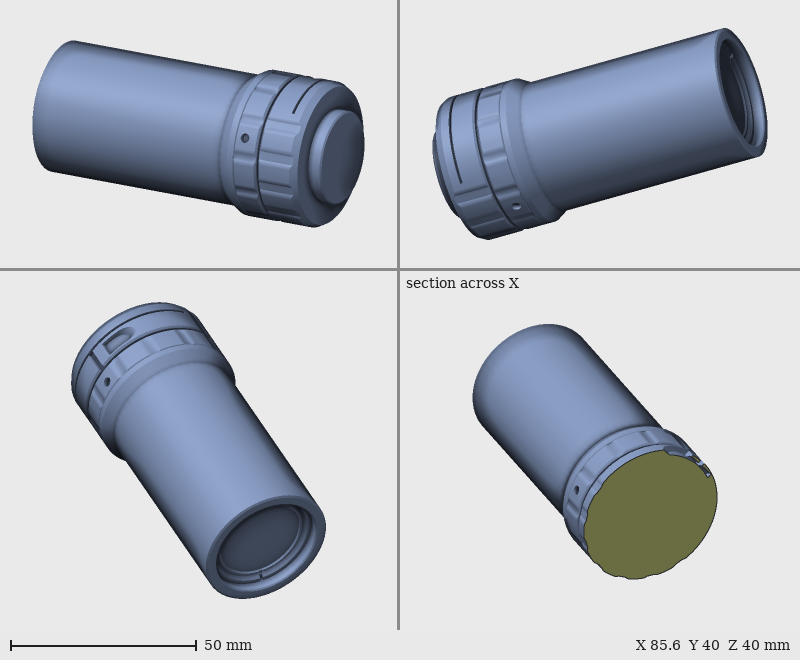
import cadquery as cq
import math

LENGTH = 85.6
OUTER_DIA = 40.0
OUTER_R = OUTER_DIA / 2
BARREL_R = 18.0
CORE_R = 18.5
MOUNT_R = 12.75
CLEARANCE = 0.85

CONE_START = 57.3
CONE_END = 60.7
GRIP_START = 62.7
GRIP_END = 69.4
FOCUS_START = 70.1
FOCUS_TAPER = 79.8
FOCUS_END = 81.75

FRONT_CHAMFER_X = 0.3
FRONT_CHAMFER_R = 0.6
SEAM_CHAMFER = 0.21
RING_CHAMFER = 0.5
REAR_TAPER_DROP = 1.0
MOUNT_CHAMFER = 0.4

BORE_R = 15.2
BORE_CHAMFER = 0.3
RETAINER_R = 13.8
RETAINER_DEPTH = 2.9
FUNNEL_R = 12.9
FUNNEL_DEPTH = 4.0
LENS_RING_R = 12.4
LENS_RING_DEPTH = 3.6
LENS_RIM_R = 11.8
LENS_R = 11.55
LENS_DEPTH = 4.1
NOTCH_WIDTH = 0.85
NOTCH_DEPTH = 0.85

FLUTE_DEPTH = 0.4
FLUTE_ROUND = 2.5
FLUTE_TROUGH_WIDTH = 2.3
GRIP_FLUTE_WIDTH = 4.3
FOCUS_FLUTE_WIDTH = 5.2
GRIP_FLUTES = 12
GRIP_PHASE = 9.0
FOCUS_PITCH = 360 / 14
FOCUS_FLUTES = 7

HOLE_DIA = 2.6
HOLE_X = 65.4
HOLE_DEPTH = 1.7
HOLE_COUNT = 3
HOLE_PHASE = GRIP_PHASE + 180 / GRIP_FLUTES

SLIT_ANGLE = 180 - 1.5 * FOCUS_PITCH
SLIT_WIDTH = 1.6
SLOT_START = 76.7
SLOT_WIDTH = 0.8
SLOT_HALF_SPAN = 91.0
SCREW_X = 73.4
SCREW_OFFSET = 17.7
SCREW_HEAD_DIA = 4.7
SCREW_HOLE_DIA = 2.6
SCREW_SEAT = 4.1
SCREW_HOLE_REACH = 5.1


def turned(points):
    """Solid of revolution about X from (x, radius) points closed along the axis."""
    first_x = points[0][0]
    last_x = points[-1][0]
    outline = [(first_x, 0)] + points + [(last_x, 0)]
    return cq.Workplane("XY").polyline(outline).close().revolve(360, (0, 0), (1, 0))


def around(shape, angle):
    """Turn a shape made on the -Y side by an angle from -Y towards +Z."""
    return shape.rotate((0, 0, 0), (1, 0, 0), -angle)


def flute(start, length, width):
    """Cutter for one shallow finger flute on the -Y side: rounded flanks and a hollow trough."""
    edge_angle = math.asin(width / 2 / OUTER_R)
    trough = FLUTE_TROUGH_WIDTH / 2
    clear_r = OUTER_R + CLEARANCE

    round_z = (OUTER_R - FLUTE_ROUND) * math.sin(edge_angle)
    round_r = (OUTER_R - FLUTE_ROUND) * math.cos(edge_angle)
    trough_angle = math.asin((trough - round_z) / FLUTE_ROUND)

    def flank(angle, side):
        radius = round_r + FLUTE_ROUND * math.cos(angle)
        height = round_z + FLUTE_ROUND * math.sin(angle)
        return (-radius, side * height)

    middle_angle = (edge_angle + trough_angle) / 2
    return (
        cq.Workplane("YZ", origin=(start, 0, 0))
        .moveTo(-clear_r, width / 2)
        .lineTo(*flank(edge_angle, 1))
        .threePointArc(flank(middle_angle, 1), flank(trough_angle, 1))
        .threePointArc((-(OUTER_R - FLUTE_DEPTH), 0), flank(trough_angle, -1))
        .threePointArc(flank(middle_angle, -1), flank(edge_angle, -1))
        .lineTo(-clear_r, -width / 2)
        .close()
        .extrude(length)
    )


def make_body():
    """Barrel, cone and flange in front, core under the rings and rear mount."""
    return turned([
        (0, BARREL_R - FRONT_CHAMFER_R),
        (FRONT_CHAMFER_X, BARREL_R),
        (CONE_START, BARREL_R),
        (CONE_END, OUTER_R),
        (GRIP_START - SEAM_CHAMFER, OUTER_R),
        (GRIP_START, OUTER_R - SEAM_CHAMFER),
        (GRIP_START, CORE_R),
        (FOCUS_TAPER, CORE_R),
        (FOCUS_TAPER, MOUNT_R),
        (LENGTH - MOUNT_CHAMFER, MOUNT_R),
        (LENGTH, MOUNT_R - MOUNT_CHAMFER),
    ])


def cut_front_bore(body):
    """Stepped bore down to the lens face, with two spanner notches in the retainer."""
    bore = turned([
        (0, BORE_R),
        (BORE_CHAMFER, BORE_R - BORE_CHAMFER),
        (RETAINER_DEPTH, BORE_R - BORE_CHAMFER),
        (RETAINER_DEPTH, RETAINER_R),
        (FUNNEL_DEPTH, FUNNEL_R),
        (FUNNEL_DEPTH, LENS_RING_R),
        (LENS_RING_DEPTH, LENS_RING_R),
        (LENS_RING_DEPTH, LENS_RIM_R),
        (LENS_DEPTH, LENS_R),
    ])
    notches = cq.Workplane("XY").box(
        NOTCH_DEPTH, NOTCH_WIDTH, 2 * (BORE_R - BORE_CHAMFER), centered=(False, True, True)
    ).translate((RETAINER_DEPTH, 0, 0))
    return body.cut(bore).cut(notches)


def make_grip_ring():
    """Front ring with flutes all round."""
    ring = turned([
        (GRIP_START, OUTER_R - SEAM_CHAMFER),
        (GRIP_START + SEAM_CHAMFER, OUTER_R),
        (GRIP_END - RING_CHAMFER, OUTER_R),
        (GRIP_END, OUTER_R - RING_CHAMFER),
    ])
    cutter = flute(GRIP_START, GRIP_END - GRIP_START, GRIP_FLUTE_WIDTH)
    for i in range(GRIP_FLUTES):
        ring = ring.cut(around(cutter, GRIP_PHASE + i * 360 / GRIP_FLUTES))
    return ring


def cut_grip_holes(body):
    """Flat-bottomed radial holes on lands of the grip ring."""
    drill = (
        cq.Workplane("XZ", origin=(HOLE_X, -(OUTER_R - HOLE_DEPTH), 0))
        .circle(HOLE_DIA / 2)
        .extrude(HOLE_DEPTH + CLEARANCE)
    )
    for i in range(HOLE_COUNT):
        body = body.cut(around(drill, HOLE_PHASE + i * 360 / HOLE_COUNT))
    return body


def slot_around():
    """Ring sector, centred on -Y, for the slot around the focus ring."""
    clear_r = OUTER_R + CLEARANCE
    end_y = -clear_r * math.cos(math.radians(SLOT_HALF_SPAN))
    end_z = clear_r * math.sin(math.radians(SLOT_HALF_SPAN))
    return (
        cq.Workplane("YZ", origin=(SLOT_START, 0, 0))
        .lineTo(end_y, end_z)
        .threePointArc((-clear_r, 0), (end_y, -end_z))
        .close()
        .extrude(SLOT_WIDTH)
    )


def clamp_cuts():
    """Slit, slot and screw pocket, with the slit on the -Y side."""
    slit = cq.Workplane("XY").box(
        SLOT_START - FOCUS_START, OUTER_DIA, SLIT_WIDTH, centered=(False, False, True)
    ).translate((FOCUS_START, -OUTER_DIA, 0))
    head = (
        cq.Workplane("XY", origin=(SCREW_X, -SCREW_OFFSET, -SCREW_SEAT))
        .circle(SCREW_HEAD_DIA / 2)
        .extrude(-OUTER_R)
    )
    head_opening = cq.Workplane("XY").box(
        SCREW_HEAD_DIA, OUTER_R, OUTER_R, centered=(True, False, False)
    ).translate((SCREW_X, -SCREW_OFFSET - OUTER_R, -SCREW_SEAT - OUTER_R))
    hole = (
        cq.Workplane("XY", origin=(SCREW_X, -SCREW_OFFSET, -SCREW_SEAT))
        .circle(SCREW_HOLE_DIA / 2)
        .extrude(SCREW_SEAT + SCREW_HOLE_REACH)
    )
    return [slot_around(), slit, head, head_opening, hole]


def make_focus_ring():
    """Rear ring, fluted on the side opposite its clamp."""
    ring = turned([
        (FOCUS_START, OUTER_R - RING_CHAMFER),
        (FOCUS_START + RING_CHAMFER, OUTER_R),
        (FOCUS_TAPER, OUTER_R),
        (FOCUS_END, OUTER_R - REAR_TAPER_DROP),
    ])
    cutter = flute(FOCUS_START, FOCUS_END - FOCUS_START, FOCUS_FLUTE_WIDTH)
    for i in range(FOCUS_FLUTES):
        offset = (i - (FOCUS_FLUTES - 1) / 2) * FOCUS_PITCH
        ring = ring.cut(around(cutter, SLIT_ANGLE + 180 + offset))
    for clamp_cut in clamp_cuts():
        ring = ring.cut(around(clamp_cut, SLIT_ANGLE))
    return ring


body = make_body().union(make_grip_ring()).union(make_focus_ring())
result = cut_grip_holes(cut_front_bore(body))